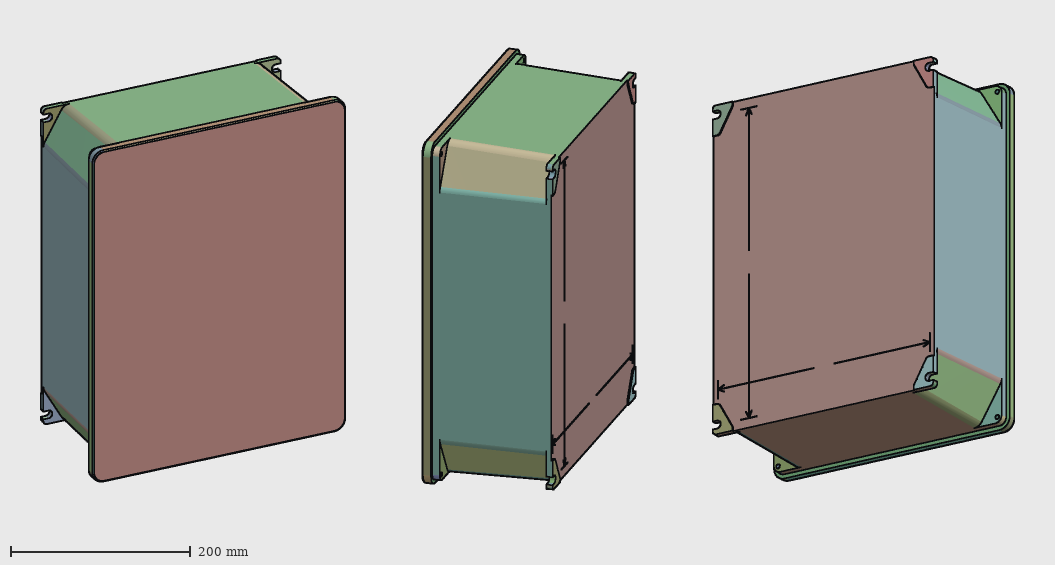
import cadquery as cq
import math

DEPTH = 150.5
WIDTH = 315.0
HEIGHT = 410.0

LID_THICKNESS = 11.0
LID_CORNER_RADIUS = 14.0
LID_EDGE_CHAMFER = 1.5

BOX_DEPTH = DEPTH - LID_THICKNESS
DRAFT_ANGLE = 2.1
LID_OVERHANG = 5.0

PAD_HEIGHT = 1.5
BACK_PLATE_END = 7.5
FLANGE_START = 130.8
BACK_CORNER_RADIUS = 4.5
FLANGE_CORNER_RADIUS = 8.5

BEVEL_Y = 35.3
BEVEL_Z = 53.5
BEVEL_EDGE_RADIUS = 11.5

PAD_Y = 36.5
PAD_Z = 46.0
PAD_TIP_Y = 18.5
PAD_SHOULDER_Z = 14.8
PAD_CORNER_RADIUS = 5.0
SLOT_WIDTH = 9.5
SLOT_CENTER_Y = 16.0
SLOT_CENTER_Z = 21.5

SCREW_HOLE_DIAMETER = 5.0
SCREW_HOLE_INSET_Y = 11.0
SCREW_HOLE_INSET_Z = 12.5

MARK_DEPTH = 0.5
MARK_WIDTH = 0.5
MARK_BAR_LENGTH = 21.5
MARK_HEAD_LENGTH = 9.0
MARK_HEAD_ANGLE = 25.0
UPRIGHT_MARK_Y = 100.0
UPRIGHT_MARK_GAP = (-13.5, 15.0)
LEVEL_MARK_Z = -142.0
LEVEL_MARK_GAP = (-14.0, 13.5)

CORNER_SIGNS = [(sy, sz) for sy in (-1, 1) for sz in (-1, 1)]


def half_sides(x):
    """Half width and half height of the drafted box at depth x."""
    inset = LID_OVERHANG + (BOX_DEPTH - x) * math.tan(math.radians(DRAFT_ANGLE))
    return WIDTH / 2 - inset, HEIGHT / 2 - inset


def drafted_block(outline, start, end):
    """Solid between the outlines of the box at two depths."""
    sections = cq.Workplane("YZ", origin=(start, 0, 0)).polyline(outline(start)).close()
    sections = sections.workplane(offset=end - start).polyline(outline(end)).close()
    return sections.loft(ruled=True)


def rectangle(x):
    y, z = half_sides(x)
    return [(-y, -z), (y, -z), (y, z), (-y, z)]


def bevelled_rectangle(x):
    y, z = half_sides(x)
    bevel_y = WIDTH / 2 - BEVEL_Y
    bevel_z = HEIGHT / 2 - BEVEL_Z
    return [
        (-bevel_y, -z), (bevel_y, -z), (y, -bevel_z), (y, bevel_z),
        (bevel_y, z), (-bevel_y, z), (-y, bevel_z), (-y, -bevel_z),
    ]


def rounded_layer(outline, start, end, radius):
    """Drafted block with its long edges rounded."""
    long_edges = "not(#X)"
    return drafted_block(outline, start, end).edges(long_edges).fillet(radius)


def mounting_pad(sign_y, sign_z):
    """Raised corner pad, trimmed to the outline of the box back."""
    edge_y = WIDTH / 2
    edge_z = HEIGHT / 2
    outline = [
        (edge_y, edge_z), (edge_y - PAD_Y, edge_z), (edge_y - PAD_Y, edge_z - PAD_SHOULDER_Z),
        (edge_y - PAD_TIP_Y, edge_z - PAD_Z), (edge_y, edge_z - PAD_Z),
    ]
    points = [(sign_y * y, sign_z * z) for y, z in outline]
    pad = cq.Workplane("YZ").polyline(points).close().extrude(PAD_HEIGHT)
    shoulder = cq.selectors.NearestToPointSelector((PAD_HEIGHT / 2, *points[2]))
    tip = cq.selectors.NearestToPointSelector((PAD_HEIGHT / 2, *points[3]))
    pad = pad.edges("|X").edges(cq.selectors.SumSelector(shoulder, tip)).fillet(PAD_CORNER_RADIUS)
    return pad.intersect(rounded_layer(rectangle, 0, PAD_HEIGHT, BACK_CORNER_RADIUS))


def mounting_slot(sign_y, sign_z):
    """Cutter for a slot that opens to the side of the box."""
    slot_y = sign_y * (WIDTH / 2 - SLOT_CENTER_Y)
    slot_z = sign_z * (HEIGHT / 2 - SLOT_CENTER_Z)
    plane = cq.Workplane("YZ", origin=(0, slot_y, slot_z))
    round_end = plane.circle(SLOT_WIDTH / 2).extrude(BACK_PLATE_END)
    channel = plane.center(sign_y * SLOT_CENTER_Y / 2, 0).rect(SLOT_CENTER_Y, SLOT_WIDTH)
    return round_end.union(channel.extrude(BACK_PLATE_END))


def mark_stroke(start, end):
    """Cutter for one straight engraved stroke on the back face."""
    run_y = end[0] - start[0]
    run_z = end[1] - start[1]
    middle = ((start[0] + end[0]) / 2, (start[1] + end[1]) / 2)
    plane = cq.Workplane("YZ", origin=(PAD_HEIGHT, *middle))
    stroke = plane.transformed(rotate=(0, 0, math.degrees(math.atan2(run_z, run_y))))
    return stroke.rect(math.hypot(run_y, run_z), MARK_WIDTH).extrude(MARK_DEPTH)


def arrow_strokes(tip, tail):
    """Shaft, two head strokes and end bar of one arrow, as point pairs."""
    direction = math.atan2(tail[1] - tip[1], tail[0] - tip[0])

    def from_tip(length, angle):
        return tip[0] + length * math.cos(angle), tip[1] + length * math.sin(angle)

    head = math.radians(MARK_HEAD_ANGLE)
    quarter_turn = math.pi / 2
    half_bar = MARK_BAR_LENGTH / 2
    return [
        (tip, tail),
        (tip, from_tip(MARK_HEAD_LENGTH, direction + head)),
        (tip, from_tip(MARK_HEAD_LENGTH, direction - head)),
        (from_tip(half_bar, direction - quarter_turn), from_tip(half_bar, direction + quarter_turn)),
    ]


def dimension_marks():
    """All strokes of the upright and the level dimension arrow."""
    reach_y = WIDTH / 2 - SLOT_CENTER_Y
    reach_z = HEIGHT / 2 - SLOT_CENTER_Z
    strokes = []
    for sign, gap in zip((-1, 1), UPRIGHT_MARK_GAP):
        strokes += arrow_strokes((UPRIGHT_MARK_Y, sign * reach_z), (UPRIGHT_MARK_Y, gap))
    for sign, gap in zip((-1, 1), LEVEL_MARK_GAP):
        strokes += arrow_strokes((sign * reach_y, LEVEL_MARK_Z), (gap, LEVEL_MARK_Z))
    return strokes


def make_box():
    back_plate = rounded_layer(rectangle, PAD_HEIGHT, BACK_PLATE_END, BACK_CORNER_RADIUS)
    core = rounded_layer(bevelled_rectangle, BACK_PLATE_END, FLANGE_START, BEVEL_EDGE_RADIUS)
    flange = rounded_layer(rectangle, FLANGE_START, BOX_DEPTH, FLANGE_CORNER_RADIUS)
    box = core.union(back_plate).union(flange)

    for sign_y, sign_z in CORNER_SIGNS:
        box = box.union(mounting_pad(sign_y, sign_z))
    for sign_y, sign_z in CORNER_SIGNS:
        box = box.cut(mounting_slot(sign_y, sign_z))
    box = box.clean()

    hole_spacing_y = WIDTH - 2 * SCREW_HOLE_INSET_Y
    hole_spacing_z = HEIGHT - 2 * SCREW_HOLE_INSET_Z
    screw_holes = cq.Workplane("YZ", origin=(FLANGE_START, 0, 0))
    screw_holes = screw_holes.rect(hole_spacing_y, hole_spacing_z, forConstruction=True).vertices()
    box = box.cut(screw_holes.circle(SCREW_HOLE_DIAMETER / 2).extrude(BOX_DEPTH - FLANGE_START))

    for start, end in dimension_marks():
        box = box.cut(mark_stroke(start, end))
    return box


def make_lid():
    lid = cq.Workplane("YZ", origin=(BOX_DEPTH, 0, 0)).rect(WIDTH, HEIGHT).extrude(LID_THICKNESS)
    lid = lid.edges("|X").fillet(LID_CORNER_RADIUS)
    return lid.faces(">X").edges().chamfer(LID_EDGE_CHAMFER)


box = make_box()
lid = make_lid()

result = cq.Compound.makeCompound([box.val(), lid.val()])